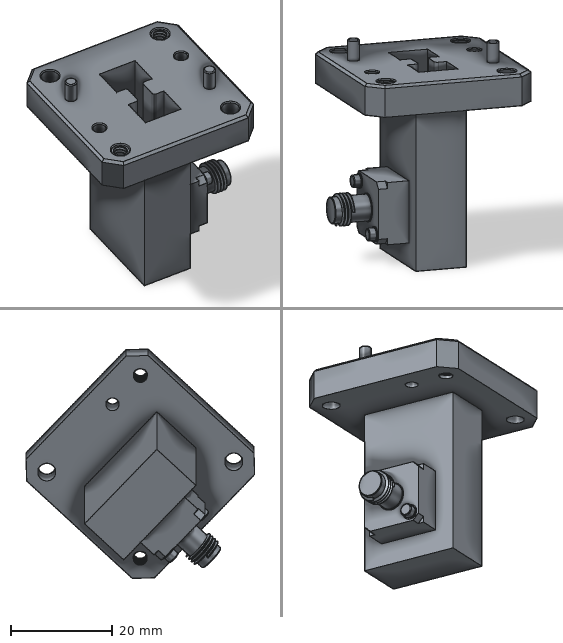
import cadquery as cq
import math

FLANGE_SIDE = 35.0
FLANGE_THICKNESS = 6.4
CORNER_CUT = 3.1
RIM_BEVEL = 0.55

BODY_LENGTH_X = 20.78
BODY_WIDTH_Y = 10.65
END_PLATE_THICKNESS = 1.37
OVERALL_HEIGHT = 44.3
PIN_LENGTH = 4.2
FLANGE_TOP = OVERALL_HEIGHT - PIN_LENGTH
FLANGE_BOTTOM = FLANGE_TOP - FLANGE_THICKNESS

CAVITY_LENGTH_X = 17.68
CAVITY_WIDTH_Y = 8.2
RIDGE_WIDTH_X = 4.47
RIDGE_GAP_Y = 3.45
RIDGE_CORNER_RADIUS = 0.6

HOLE_ROW_Y = 12.7
BOLT_X = 13.45
DOWEL_X = 5.45
EDGE_BREAK = 0.2
CLEARANCE_DIAMETER = 3.55
DOWEL_HOLE_DIAMETER = 2.55
PIN_DIAMETER = 2.4
TAPPED_CORE_DIAMETER = 2.75
TAPPED_MAJOR_DIAMETER = 3.65
TAPPED_MOUTH_DIAMETER = 4.0
TAPPED_PITCH = 0.7

CONNECTOR_Z = 11.2
MOUNT_SIDE = 12.65
BLOCK_THICKNESS = 4.47
PLATE_THICKNESS = 1.9
PLATE_CORNER_CUT = 1.25
BARREL_DIAMETER = 5.35
BARREL_TIP_CHAMFER = 0.15
COLLAR_DIAMETER = 5.7
COLLAR_THICKNESS = 0.18
CONNECTOR_TIP_Y = 19.45
THREAD_CREST_DIAMETER = 6.5
THREAD_PITCH = 0.7
THREAD_TIP_GAP = 0.85
THREAD_LENGTH = 3.35
THREAD_START_ANGLE = 180
SCREW_OFFSET = 4.45
SCREW_HEAD_DIAMETER = 2.53
SCREW_HEAD_HEIGHT = 1.7
SCREW_HEAD_CHAMFER = 0.18
WASHER_DIAMETER = 3.0
WASHER_THICKNESS = 0.2

BLOCK_FACE_Y = BODY_WIDTH_Y / 2 + BLOCK_THICKNESS
PLATE_FACE_Y = BLOCK_FACE_Y + PLATE_THICKNESS

COIL_BASE_FRACTION = 0.85
COIL_TIP_FRACTION = 0.15
COIL_OVERLAP = 0.1


def thread_coil(surface_radius, tip_radius, pitch, length):
    """Helical tapered coil along +Z from Z = 0, rooted just behind the threaded surface.

    A tip outside the surface makes the ridge of an external thread or the groove of an internal one.
    """
    base_radius = surface_radius - COIL_OVERLAP
    half_base = COIL_BASE_FRACTION * pitch / 2
    half_tip = COIL_TIP_FRACTION * pitch / 2
    helix = cq.Wire.makeHelix(pitch, length, surface_radius)
    profile = cq.Workplane("XZ").polyline([
        (base_radius, -half_base),
        (tip_radius, -half_tip),
        (tip_radius, half_tip),
        (base_radius, half_base),
    ]).close()
    return profile.sweep(cq.Workplane(obj=helix), isFrenet=True)


def make_flange():
    return (
        cq.Workplane("XY", origin=(0, 0, FLANGE_BOTTOM))
        .rect(FLANGE_SIDE, FLANGE_SIDE)
        .extrude(FLANGE_THICKNESS)
        .edges("|Z")
        .chamfer(CORNER_CUT)
        .faces(">Z")
        .chamfer(RIM_BEVEL)
    )


def make_body():
    return cq.Workplane("XY").rect(BODY_LENGTH_X, BODY_WIDTH_Y).extrude(FLANGE_BOTTOM)


def make_cavity():
    """Rectangular guide closed by the end plate, narrowed by a ridge on each long wall."""
    depth = FLANGE_TOP - END_PLATE_THICKNESS
    ridge_height = (CAVITY_WIDTH_Y - RIDGE_GAP_Y) / 2
    floor = cq.Workplane("XY", origin=(0, 0, END_PLATE_THICKNESS))
    cavity = floor.rect(CAVITY_LENGTH_X, CAVITY_WIDTH_Y).extrude(depth)
    for side, inner_edges in ((1, "|Z and <Y"), (-1, "|Z and >Y")):
        ridge = (
            floor.center(0, side * (RIDGE_GAP_Y + ridge_height) / 2)
            .rect(RIDGE_WIDTH_X, ridge_height)
            .extrude(depth)
            .edges(inner_edges)
            .fillet(RIDGE_CORNER_RADIUS)
        )
        cavity = cavity.cut(ridge)
    return cavity


def through_hole(x, y, diameter, mouth_diameter):
    """Hole through the flange, with a small 45 degree edge break at its upper mouth."""
    hole = (
        cq.Workplane("XY", origin=(x, y, FLANGE_BOTTOM))
        .circle(diameter / 2)
        .extrude(FLANGE_THICKNESS)
    )
    edge_break = cq.Solid.makeCone(
        mouth_diameter / 2 - EDGE_BREAK,
        mouth_diameter / 2,
        EDGE_BREAK,
        cq.Vector(x, y, FLANGE_TOP - EDGE_BREAK),
    )
    return hole.union(cq.Workplane(obj=edge_break))


def tapped_hole(x, y):
    """Core hole with a helical thread groove that stops just inside both ends."""
    hole = through_hole(x, y, TAPPED_CORE_DIAMETER, TAPPED_MOUTH_DIAMETER)
    groove = thread_coil(TAPPED_CORE_DIAMETER / 2, TAPPED_MAJOR_DIAMETER / 2, TAPPED_PITCH,
                           FLANGE_THICKNESS - TAPPED_PITCH)
    return hole.union(groove.translate((x, y, FLANGE_BOTTOM + TAPPED_PITCH / 2)))


def make_pin(x, y):
    return (
        cq.Workplane("XY", origin=(x, y, FLANGE_BOTTOM))
        .circle(PIN_DIAMETER / 2)
        .extrude(FLANGE_THICKNESS + PIN_LENGTH)
        .faces(">Z")
        .chamfer(EDGE_BREAK)
    )


def plane_facing_y(y):
    """Sketch plane normal to +Y, centred on the connector axis; its local x runs along -X."""
    return cq.Workplane(cq.Plane((0, y, CONNECTOR_Z), (-1, 0, 0), (0, 1, 0)))


def make_screw(x, z_offset):
    face = plane_facing_y(PLATE_FACE_Y).center(-x, z_offset)
    washer = face.circle(WASHER_DIAMETER / 2).extrude(WASHER_THICKNESS)
    head = (
        face.circle(SCREW_HEAD_DIAMETER / 2)
        .extrude(SCREW_HEAD_HEIGHT)
        .faces(">Y")
        .chamfer(SCREW_HEAD_CHAMFER)
    )
    return washer.union(head)


def make_connector_thread():
    """Helical ridge wound along the +Y end of the barrel."""
    helix_length = THREAD_LENGTH - THREAD_PITCH
    helix_start_y = CONNECTOR_TIP_Y - THREAD_TIP_GAP - THREAD_LENGTH + THREAD_PITCH / 2
    return (
        thread_coil(BARREL_DIAMETER / 2, THREAD_CREST_DIAMETER / 2, THREAD_PITCH, helix_length)
        .rotate((0, 0, 0), (0, 0, 1), THREAD_START_ANGLE)
        .rotate((0, 0, 0), (1, 0, 0), -90)
        .translate((0, helix_start_y, CONNECTOR_Z))
    )


def make_connector():
    block = (
        plane_facing_y(BODY_WIDTH_Y / 2)
        .rect(MOUNT_SIDE, MOUNT_SIDE)
        .extrude(BLOCK_THICKNESS)
    )
    plate = (
        plane_facing_y(BLOCK_FACE_Y)
        .rect(MOUNT_SIDE, MOUNT_SIDE)
        .extrude(PLATE_THICKNESS)
        .edges("|Y")
        .chamfer(PLATE_CORNER_CUT)
    )
    collar = plane_facing_y(PLATE_FACE_Y).circle(COLLAR_DIAMETER / 2).extrude(COLLAR_THICKNESS)
    barrel = (
        plane_facing_y(PLATE_FACE_Y)
        .circle(BARREL_DIAMETER / 2)
        .extrude(CONNECTOR_TIP_Y - PLATE_FACE_Y)
        .faces(">Y")
        .chamfer(BARREL_TIP_CHAMFER)
    )
    connector = block.union(plate).union(collar).union(barrel.union(make_connector_thread()))
    for side in (-1, 1):
        connector = connector.union(make_screw(side * SCREW_OFFSET, side * SCREW_OFFSET))
    return connector


result = make_flange().union(make_body()).union(make_connector()).cut(make_cavity())
for side in (-1, 1):
    row_y = side * HOLE_ROW_Y
    result = result.cut(through_hole(side * BOLT_X, row_y, CLEARANCE_DIAMETER,
                                     CLEARANCE_DIAMETER + 2 * EDGE_BREAK))
    result = result.cut(through_hole(-side * DOWEL_X, row_y, DOWEL_HOLE_DIAMETER,
                                     DOWEL_HOLE_DIAMETER + 2 * EDGE_BREAK))
    result = result.cut(tapped_hole(-side * BOLT_X, row_y))
    result = result.union(make_pin(side * DOWEL_X, row_y))